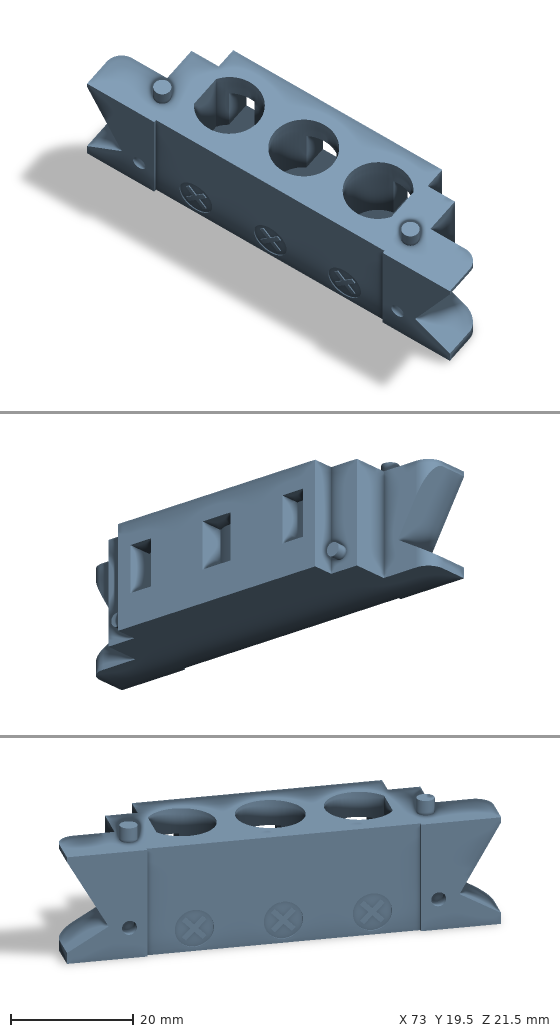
import cadquery as cq
import math

LENGTH = 73.0
DEPTH = 19.5
HEIGHT = 21.5
BODY_HEIGHT = 19.0

EAR_DEPTH = 8.55
EAR_RADIUS = 3.0
SHOULDER_WIDTH = 53.0
SHOULDER_DEPTH = 15.4
BACK_WIDTH = 42.05
FACE_RECESS_WIDTH = 46.0
FACE_RECESS_DEPTH = 0.5

NOTCH_DEPTH = 7.0
NOTCH_ROOT_HEIGHT = 6.0
NOTCH_LOWER_ANGLE = 30.0

PIN_DIAMETER = 3.0
TOP_PIN_SPACING = 49.9
TOP_PIN_Y = 5.05
BACK_PIN_DIAMETER = 2.5
BACK_PIN_SPACING = 46.0
BACK_PIN_Z = 3.2
BACK_PIN_LENGTH = 2.0
SOCKET_DIAMETER = 2.5
SOCKET_SPACING = 52.0
SOCKET_Z = 5.4
SOCKET_DEPTH = 2.0

STATION_PITCH = 15.0
WELL_DIAMETER = 11.6
WELL_DEPTH = 13.0
WELL_Y = 9.9
WELL_FLAT_OFFSET = 4.9
WINDOW_HEAD_DEPTH = 4.45
MIDDLE_WINDOW_WIDTH = 6.0
OUTER_WINDOW_INNER_X = 14.0
OUTER_WINDOW_OUTER_X = 18.4

SCREW_DIAMETER = 6.6
SCREW_Z = 4.0
SCREW_SINK = 0.2
CROSS_LENGTH = 4.9
CROSS_WIDTH = 0.9

FLOOR_Z = BODY_HEIGHT - WELL_DEPTH


def box(x_min, x_max, y_min, y_max, z_min, z_max):
    """Axis-aligned block between the given limits."""
    size = (x_max - x_min, y_max - y_min, z_max - z_min)
    return cq.Workplane("XY").box(*size, centered=False).translate((x_min, y_min, z_min))


def cylinder_along_y(diameter, x, z, y_start, length):
    """Round bar running toward +Y from y_start."""
    plane = cq.Plane(origin=(x, y_start, z), xDir=(1, 0, 0), normal=(0, 1, 0))
    return cq.Workplane(plane).circle(diameter / 2).extrude(length)


def make_body():
    """Stepped block with rounded ears and a shallow recess across the front."""
    ears = box(-LENGTH / 2, LENGTH / 2, 0, EAR_DEPTH, 0, BODY_HEIGHT)
    ears = ears.edges("|Z and >Y").fillet(EAR_RADIUS)
    shoulder = box(-SHOULDER_WIDTH / 2, SHOULDER_WIDTH / 2, 0, SHOULDER_DEPTH, 0, BODY_HEIGHT)
    back = box(-BACK_WIDTH / 2, BACK_WIDTH / 2, 0, DEPTH, 0, BODY_HEIGHT)
    recess = box(-FACE_RECESS_WIDTH / 2, FACE_RECESS_WIDTH / 2, 0, FACE_RECESS_DEPTH, 0, BODY_HEIGHT)
    return ears.union(shoulder).union(back).cut(recess)


def make_notch(side):
    """V wedge cut through the ear on the given side (-1 or 1)."""
    slope = math.tan(math.radians(NOTCH_LOWER_ANGLE))
    end_x = side * LENGTH / 2
    root_x = end_x - side * NOTCH_DEPTH
    lower_z = NOTCH_ROOT_HEIGHT - NOTCH_DEPTH * slope
    upper_z = NOTCH_ROOT_HEIGHT + NOTCH_DEPTH / slope
    outline = [(root_x, NOTCH_ROOT_HEIGHT), (end_x, lower_z), (end_x, upper_z)]
    return cq.Workplane("XZ").polyline(outline).close().extrude(-EAR_DEPTH)


def make_well(station):
    """Blind well at station -1, 0 or 1; the outer two have a flat on their outer side."""
    centre_x = station * STATION_PITCH
    well = (
        cq.Workplane("XY", origin=(centre_x, WELL_Y, FLOOR_Z))
        .circle(WELL_DIAMETER / 2)
        .extrude(WELL_DEPTH)
    )
    if station == 0:
        return well
    flat_x = centre_x + station * WELL_FLAT_OFFSET
    inner_x = centre_x - station * WELL_DIAMETER / 2
    keep = box(min(flat_x, inner_x), max(flat_x, inner_x), 0, DEPTH, FLOOR_Z, BODY_HEIGHT)
    return well.intersect(keep)


def make_window(station):
    """Opening from a well through the back wall."""
    if station == 0:
        sides = (-MIDDLE_WINDOW_WIDTH / 2, MIDDLE_WINDOW_WIDTH / 2)
    else:
        sides = sorted((station * OUTER_WINDOW_INNER_X, station * OUTER_WINDOW_OUTER_X))
    return box(*sides, WELL_Y, DEPTH, FLOOR_Z, BODY_HEIGHT - WINDOW_HEAD_DEPTH)


def make_screw_recess(station):
    """Shallow round sink that leaves a diagonal cross standing flush with the front face."""
    x = station * STATION_PITCH
    sink = cylinder_along_y(SCREW_DIAMETER, x, SCREW_Z, FACE_RECESS_DEPTH, SCREW_SINK)
    for angle in (45, -45):
        arm = (
            cq.Workplane("XZ", origin=(x, FACE_RECESS_DEPTH, SCREW_Z))
            .transformed(rotate=(0, 0, angle))
            .rect(CROSS_LENGTH, CROSS_WIDTH)
            .extrude(-SCREW_SINK)
        )
        sink = sink.cut(arm)
    return sink


result = make_body()

for station in (-1, 0, 1):
    result = result.cut(make_well(station))
    result = result.cut(make_window(station))
    result = result.cut(make_screw_recess(station))

for side in (-1, 1):
    result = result.cut(make_notch(side))
    socket_x = side * SOCKET_SPACING / 2
    result = result.cut(cylinder_along_y(SOCKET_DIAMETER, socket_x, SOCKET_Z, 0, SOCKET_DEPTH))

    top_pin = (
        cq.Workplane("XY", origin=(side * TOP_PIN_SPACING / 2, TOP_PIN_Y, BODY_HEIGHT))
        .circle(PIN_DIAMETER / 2)
        .extrude(HEIGHT - BODY_HEIGHT)
    )
    back_pin_x = side * BACK_PIN_SPACING / 2
    back_pin = cylinder_along_y(BACK_PIN_DIAMETER, back_pin_x, BACK_PIN_Z, SHOULDER_DEPTH, BACK_PIN_LENGTH)
    result = result.union(top_pin).union(back_pin)